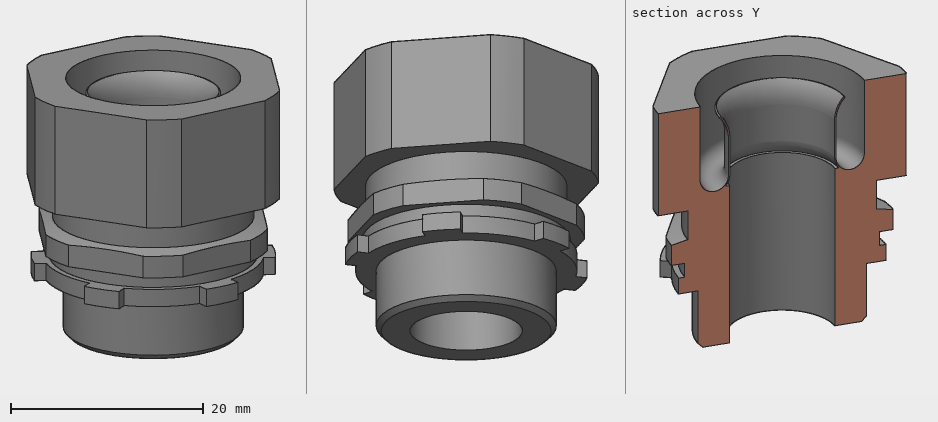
import cadquery as cq
import math

height = 27.8
thread_chamfer = 0.55
ring_bottom = 6.6
ring_top = 8.48
locknut_bottom = 10.0
locknut_top = 12.7
nut_bottom = 15.98

thread_radius = 9.37
washer_radius = 10.85
collar_radius = 10.48
nut_width = 25.5
nut_corner_radius = 13.8
locknut_width = 23.1
locknut_corner_radius = 12.32
locknut_chamfer_radius = 10.7
locknut_chamfer_drop = 0.33

ring_radius = 11.5
tooth_tip_radius = 12.7
tooth_width = 4.0
tooth_count = 6
first_tooth_angle = 30.0

mouth_radius = 9.1
groove_depth = 10.0
lip_radius = 6.85
lip_depth = 1.47
liner_radius = 5.78
liner_wall = 0.22
liner_straight_top = height - 4.05
liner_straight_bottom = height - 8.3
liner_end = height - 9.62
liner_end_radius = 6.23
lower_bore_radius = 5.85


def disc(radius, bottom, top):
    """Cylinder about Z between two heights."""
    return cq.Workplane("XY").workplane(offset=bottom).circle(radius).extrude(top - bottom)


def rounded_hexagon(width, corner_radius, bottom, top):
    """Hexagonal prism with flats on +/-Y and corners turned to a radius."""
    corner_diameter = width / math.cos(math.pi / 6)
    prism = cq.Workplane("XY").workplane(offset=bottom).polygon(6, corner_diameter).extrude(top - bottom)
    return prism.intersect(disc(corner_radius, bottom, top))


def make_locknut():
    """Hexagonal locknut whose upper corners are cut by a cone."""
    hexagon = rounded_hexagon(locknut_width, locknut_corner_radius, locknut_bottom, locknut_top)
    cone_envelope = (
        cq.Workplane("XZ")
        .moveTo(0, locknut_bottom)
        .lineTo(locknut_corner_radius, locknut_bottom)
        .lineTo(locknut_corner_radius, locknut_top - locknut_chamfer_drop)
        .lineTo(locknut_chamfer_radius, locknut_top)
        .lineTo(0, locknut_top)
        .close()
        .revolve(360, (0, 0, 0), (0, 1, 0))
    )
    return hexagon.intersect(cone_envelope)


def make_toothed_ring():
    """Flat ring with parallel-sided teeth ending on a common tip circle."""
    ring_height = ring_top - ring_bottom
    teeth = disc(ring_radius, ring_bottom, ring_top)
    for index in range(tooth_count):
        angle = first_tooth_angle + index * 360 / tooth_count
        tooth = (
            cq.Workplane("XY")
            .box(2 * tooth_tip_radius, tooth_width, ring_height, centered=(False, True, False))
            .rotate((0, 0, 0), (0, 0, 1), angle)
            .translate((0, 0, ring_bottom))
        )
        teeth = teeth.union(tooth)
    return teeth.intersect(disc(tooth_tip_radius, ring_bottom, ring_top))


def flare_arc(start_radius, arc_radius, sweep, fraction):
    """Point on an arc leaving a cylinder tangentially: its radius and axial distance."""
    angle = sweep * fraction
    return start_radius + arc_radius * (1 - math.cos(angle)), arc_radius * math.sin(angle)


def flare_size(end_radius, rise):
    """Radius and sweep of the arc that opens the liner bore to the end radius."""
    sweep = 2 * math.atan2(end_radius - liner_radius, rise)
    return rise / math.sin(sweep), sweep


def make_mouth():
    """Space removed along Z: semicircular groove, trumpet-shaped lip, liner bore and lower bore."""
    liner_outer_radius = liner_radius + liner_wall
    groove_radius = (mouth_radius - liner_outer_radius) / 2
    groove_center_radius = liner_outer_radius + groove_radius
    groove_bottom = height - groove_depth
    groove_arc_ends = groove_bottom + groove_radius

    lip_height = height - lip_depth
    flare_radius, flare_sweep = flare_size(lip_radius, lip_height - liner_straight_top)
    outer_flare_radius = flare_radius - liner_wall
    outer_mid_radius, outer_mid_rise = flare_arc(liner_outer_radius, outer_flare_radius, flare_sweep, 0.5)
    outer_lip_radius, outer_lip_rise = flare_arc(liner_outer_radius, outer_flare_radius, flare_sweep, 1)
    inner_mid_radius, inner_mid_rise = flare_arc(liner_radius, flare_radius, flare_sweep, 0.5)

    end_flare_radius, end_flare_sweep = flare_size(liner_end_radius, liner_straight_bottom - liner_end)
    end_mid_radius, end_mid_drop = flare_arc(liner_radius, end_flare_radius, end_flare_sweep, 0.5)

    return (
        cq.Workplane("XZ")
        .moveTo(0, height)
        .lineTo(mouth_radius, height)
        .lineTo(mouth_radius, groove_arc_ends)
        .threePointArc((groove_center_radius, groove_bottom), (liner_outer_radius, groove_arc_ends))
        .lineTo(liner_outer_radius, liner_straight_top)
        .threePointArc(
            (outer_mid_radius, liner_straight_top + outer_mid_rise),
            (outer_lip_radius, liner_straight_top + outer_lip_rise),
        )
        .lineTo(lip_radius, lip_height)
        .threePointArc(
            (inner_mid_radius, liner_straight_top + inner_mid_rise),
            (liner_radius, liner_straight_top),
        )
        .lineTo(liner_radius, liner_straight_bottom)
        .threePointArc(
            (end_mid_radius, liner_straight_bottom - end_mid_drop),
            (liner_end_radius, liner_end),
        )
        .lineTo(lower_bore_radius, liner_end)
        .lineTo(lower_bore_radius, 0)
        .lineTo(0, 0)
        .close()
        .revolve(360, (0, 0, 0), (0, 1, 0))
    )


thread = disc(thread_radius, 0, ring_top).faces("<Z").chamfer(thread_chamfer)
washer = disc(washer_radius, ring_top, locknut_bottom)
collar = disc(collar_radius, locknut_top, nut_bottom)
nut = rounded_hexagon(nut_width, nut_corner_radius, nut_bottom, height)

body = thread.union(make_toothed_ring()).union(washer).union(make_locknut()).union(collar).union(nut)
result = body.cut(make_mouth())